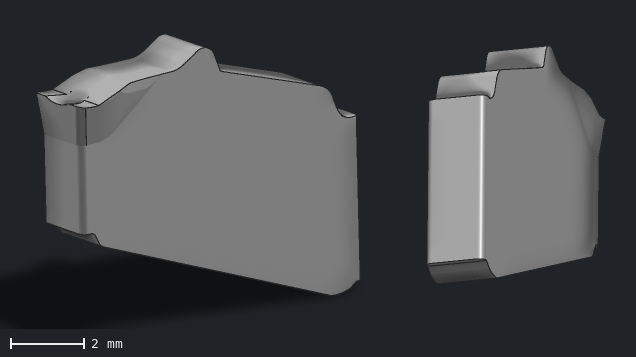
import cadquery as cq
import math

length = 10.25
height = 8.0
head_width = 2.0
body_width = 1.71
corner_radius = 0.19

tip_z = 7.2
valley_y, valley_z = 0.68, 7.13
land_z = 7.53
heel_y, heel_z = 10.11, 4.98
foot_z = 0.25
nose_y, nose_z = 0.24, 3.46
relief_y, relief_z = 0.15, 6.02

flare = (head_width - body_width) / 2
flare_rise = valley_z - relief_z
flare_bend_y, flare_bend_z = 1.42, 6.28
flare_end_y = 3.08
waist_y = 2.25
waist_flare = 0.036

dimple_radius = 1.13
dimple_y, dimple_z = 0.36, 8.15

margin = 1.02


def side_profile():
    """Closed outline in the YZ plane, starting at the cutting tip."""
    return (
        cq.Workplane("YZ")
        .moveTo(0, tip_z)
        .threePointArc((0.43, 7.13), (valley_y, valley_z))
        .spline([(1.15, 7.31), (flare_bend_y, 7.41)], includeCurrent=True)
        .lineTo(1.85, land_z)
        .lineTo(3.42, land_z)
        .threePointArc((3.67, 7.58), (3.9, 7.7))
        .lineTo(4.2, 7.87)
        .threePointArc((4.51, height), (4.93, 7.73))
        .lineTo(5.08, 7.33)
        .threePointArc((5.14, 7.24), (5.24, 7.18))
        .lineTo(8.75, 6.08)
        .threePointArc((9.01, 5.91), (9.17, 5.65))
        .lineTo(9.3, 5.36)
        .threePointArc((9.45, 5.12), (9.72, heel_z))
        .lineTo(heel_y, heel_z)
        .lineTo(length, foot_z)
        .lineTo(10.02, foot_z)
        .lineTo(9.77, 0.08)
        .threePointArc((9.35, 0), (9.1, 0.01))
        .lineTo(0.99, 2.98)
        .threePointArc((0.87, 3.05), (0.79, 3.17))
        .lineTo(0.69, 3.35)
        .threePointArc((0.62, 3.43), (0.51, nose_z))
        .lineTo(nose_y, nose_z)
        .lineTo(relief_y, relief_z)
        .close()
    )


def cheek(side):
    """Sheared block whose lower surface leans outward from the flare line."""
    face = (
        cq.Workplane("YZ")
        .moveTo(-margin, relief_z)
        .lineTo(valley_y, relief_z)
        .threePointArc((1.04, 6.07), (flare_bend_y, flare_bend_z))
        .lineTo(flare_end_y, land_z)
        .lineTo(flare_end_y, height + margin)
        .lineTo(-margin, height + margin)
        .close()
        .wires()
        .val()
    )
    start = face.translate(cq.Vector(side * body_width / 2, 0, 0))
    return cq.Workplane(cq.Solid.extrudeLinear(start, [], cq.Vector(side * flare, 0, flare_rise)))


def head_plan():
    """Plan outline of the head, narrowing along hollow curves into the body."""
    half_head = head_width / 2
    half_body = body_width / 2
    half_waist = half_body + waist_flare
    return (
        cq.Workplane("XY")
        .moveTo(-half_head, -margin)
        .lineTo(half_head, -margin)
        .lineTo(half_head, flare_bend_y)
        .threePointArc((half_waist, waist_y), (half_body, flare_end_y))
        .lineTo(-half_body, flare_end_y)
        .threePointArc((-half_waist, waist_y), (-half_head, flare_bend_y))
        .close()
        .extrude(height)
    )


def corner_waste(side, lower, upper):
    """Material outside a rounded front corner, ruled between two levels."""
    diagonal = corner_radius * (1 - math.sqrt(0.5))
    wires = []
    for half_width, front_y, level in (lower, upper):
        wire = (
            cq.Workplane("XY", origin=(0, 0, level))
            .moveTo(side * (half_width - corner_radius), front_y)
            .threePointArc(
                (side * (half_width - diagonal), front_y + diagonal),
                (side * half_width, front_y + corner_radius),
            )
            .lineTo(side * (half_width + margin), front_y + corner_radius)
            .lineTo(side * (half_width + margin), front_y - margin)
            .lineTo(side * (half_width - corner_radius), front_y - margin)
            .close()
            .wires()
            .val()
        )
        wires.append(wire)
    return cq.Workplane(cq.Solid.makeLoft(wires, True))


width_limit = cq.Workplane("XY").box(body_width, 4 * length, 4 * height)
plan = head_plan()
for side in (-1, 1):
    width_limit = width_limit.union(cheek(side).intersect(plan))
result = side_profile().extrude(head_width, both=True).intersect(width_limit)

stations = [
    (body_width / 2, nose_y, nose_z),
    (body_width / 2, relief_y, relief_z),
    (head_width / 2, 0, tip_z),
]
for side in (-1, 1):
    for lower, upper in zip(stations, stations[1:]):
        result = result.cut(corner_waste(side, lower, upper))

rear_face_center = (0, length, (heel_z + foot_z) / 2)
rear_face = result.faces(cq.NearestToPointSelector(rear_face_center))
result = rear_face.edges("not |X").fillet(corner_radius)

dimple = cq.Workplane("XY").sphere(dimple_radius).translate((0, dimple_y, dimple_z))
result = result.cut(dimple)